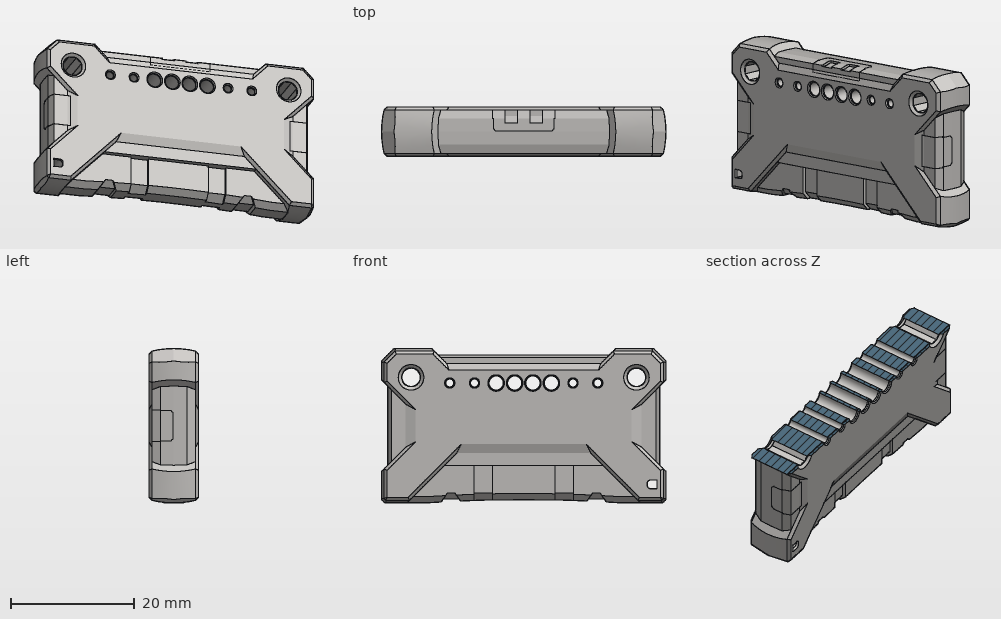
import cadquery as cq
import math

length = 46.0
height = 25.0
thickness = 8.0
plate_thickness = 0.45
crown = 0.4
edge_bevel = 0.5
upper_corner_cut = 2.02
lower_corner_cut = 0.55

half_length = length / 2
half_height = height / 2
face_y = thickness / 2
body_y = face_y - plate_thickness
diagonal = math.sqrt(2)

upper_arm_cross = 2.4
side_notch_cross = 15.6
lower_arm_cross = 6.4

upper_slope_foot, upper_slope_run = 10.05, 2.3
side_slope_foot, side_slope_run = 19.05, 3.4
lower_slope_foot, lower_slope_run = -4.45, 3.1

core_half_length = 22.0
core_top = 11.45
core_bottom = -6.45
core_draft = 0.05
core_bevel_y = 2.1
core_top_bevel = 0.45
core_side_bevel = 0.6
core_corner_cut = 1.85

hole_row_z = 6.9
small_hole_x, small_hole_radius, small_hole_rim = (7.95, 11.95), 0.65, 0.2
large_hole_x, large_hole_radius, large_hole_rim = (1.45, 4.45), 1.15, 0.2
screw_x, screw_z = 18.2, 7.8
screw_radius, screw_rim = 1.45, 0.6
screw_lip = 0.45
octagon_sides = 8
octagon_apothem = 1.5
lanyard_left, lanyard_right = 19.95, 21.55
lanyard_bottom, lanyard_top = -10.15, -8.8
lanyard_corner = 0.55

tongue_overlap = 0.45
tongue_tip_y = 0.1
tongue_step = 0.15
tongue_tip_cut = 0.35
top_tongue_half_width = 5.0
side_tongue_half_width = 2.58

slot_inner_x, slot_outer_x = 1.0, 3.05
slot_start_y, slot_ramp_y, slot_floor_y = 1.43, 1.55, 2.5
slot_step, slot_depth = 0.35, 0.65

insert_y = 2.58
insert_mid_bottom = -11.95
insert_curve_half_width = 15.65
insert_bevel = 1.0
groove_inner_x, groove_outer_x = 5.05, 8.0
groove_floor_y = 2.02
groove_edge_z = -10.85
notch_x = 11.75
notch_roof_z = -10.85
notch_roof_half_width, notch_mouth_half_width = 0.6, 1.7

lengthwise_plane = cq.Plane((0, 0, 0), xDir=(0, 1, 0), normal=(0, 0, -1))


def mirrored_outline(right_points):
    """Close an outline that is symmetric about x = 0 from its right half, listed top to bottom."""
    left_points = [(-x, z) for x, z in reversed(right_points)]
    return right_points + left_points


def armour_outline(inset, upper_cut, lower_cut, bevel, slope):
    """X-shaped outline: outer sides moved in by inset, arm edges by bevel, slopes by a 0..1 share."""
    side = half_length - inset - bevel
    top = half_height - inset - bevel
    upper_sum = half_length + half_height - upper_cut - bevel * diagonal
    lower_sum = half_length + half_height - lower_cut - bevel * diagonal
    upper_arm = upper_arm_cross + bevel * diagonal
    notch = side_notch_cross - bevel * diagonal
    lower_arm = lower_arm_cross + bevel * diagonal
    upper_slope = upper_slope_foot - slope * upper_slope_run
    side_slope = side_slope_foot - slope * side_slope_run
    lower_slope = lower_slope_foot + slope * lower_slope_run
    return mirrored_outline([
        (upper_arm + upper_slope, upper_slope),
        (upper_arm + top, top),
        (upper_sum - top, top),
        (side, upper_sum - side),
        (side, side - notch),
        (side_slope, side_slope - notch),
        (side_slope, notch - side_slope),
        (side, notch - side),
        (side, side - lower_sum),
        (lower_sum - top, -top),
        (lower_arm + top, -top),
        (lower_arm - lower_slope, lower_slope),
    ])


def ruled_body(start_outline, start_y, end_outline, end_y):
    """Solid with straight flanks between two XZ outlines."""
    wires = [
        cq.Wire.makePolygon([cq.Vector(x, y, z) for x, z in outline], close=True)
        for outline, y in ((start_outline, start_y), (end_outline, end_y))
    ]
    return cq.Workplane(cq.Solid.makeLoft(wires, True))


def along_y(outline, half_depth):
    """XZ outline extruded to both sides of y = 0."""
    return cq.Workplane("XZ").polyline(outline).close().extrude(half_depth, both=True)


def both_sides(body, plane):
    """The body together with its mirror image."""
    return body.union(body.mirror(plane))


rim_upper_cut = upper_corner_cut + crown * diagonal
rim_lower_cut = lower_corner_cut + crown * diagonal


def crowned_block():
    """Envelope of the corners: arc-shaped outsides, highest at mid thickness."""
    def crowned_profile(plane, half_size):
        rim = half_size - crown
        return (
            cq.Workplane(plane)
            .moveTo(-body_y, rim)
            .threePointArc((0, half_size), (body_y, rim))
            .lineTo(body_y, -rim)
            .threePointArc((0, -half_size), (-body_y, -rim))
            .close()
            .extrude(length, both=True)
        )

    across_x = crowned_profile(lengthwise_plane, half_length)
    across_z = crowned_profile("YZ", half_height)
    return across_x.intersect(across_z)


def corner_armour():
    """The four corners between the plates; their 45 degree cuts have a ridge at mid thickness."""
    middle = armour_outline(0, upper_corner_cut, lower_corner_cut, 0, 0)
    rim = armour_outline(0, rim_upper_cut, rim_lower_cut, 0, 0)
    half = ruled_body(middle, 0, rim, body_y)
    return both_sides(half, "XZ").intersect(crowned_block())


def raised_plate(side):
    """X-shaped plate with bevelled arms; side is -1 for the front and 1 for the back."""
    foot = armour_outline(crown, rim_upper_cut, rim_lower_cut, 0, 0)
    face = armour_outline(crown, rim_upper_cut, rim_lower_cut, edge_bevel, 0.45)
    return ruled_body(foot, side * body_y, face, side * face_y)


def core():
    """Block between the corners with a light draft and a bevel towards the front and the back."""
    def drafted_profile(plane, half_size, bevel):
        upper_half = [
            (body_y, half_size - bevel),
            (core_bevel_y, half_size - core_draft),
            (0, half_size),
            (-core_bevel_y, half_size - core_draft),
            (-body_y, half_size - bevel),
        ]
        lower_half = [(y, -size) for y, size in reversed(upper_half)]
        return cq.Workplane(plane).polyline(upper_half + lower_half).close().extrude(length, both=True)

    side_profile = drafted_profile(lengthwise_plane, core_half_length, core_side_bevel)
    top_profile = drafted_profile("YZ", core_top, core_top_bevel)
    front_outline = mirrored_outline([
        (core_half_length - core_corner_cut, core_top),
        (core_half_length, core_top - core_corner_cut),
        (core_half_length, core_bottom),
    ])
    return side_profile.intersect(top_profile).intersect(along_y(front_outline, body_y))


def rimmed_holes(centres, radius, rim):
    """Through holes along Y with a 45 degree rim at the front and at the back."""
    holes = cq.Workplane("XZ").pushPoints(centres).circle(radius).extrude(face_y, both=True)
    for x, z in centres:
        for side in (-1, 1):
            rim_cone = cq.Solid.makeCone(
                radius + rim, radius, rim, cq.Vector(x, side * face_y, z), cq.Vector(0, -side, 0)
            )
            holes = holes.union(cq.Workplane(rim_cone))
    return holes


def octagonal_bores():
    """Octagonal bores of the screw holes, from behind the front lip to the back cover."""
    bore_start_y = -face_y + screw_rim + screw_lip
    half_side_angle = 180 / octagon_sides
    corner_diameter = 2 * octagon_apothem / math.cos(math.radians(half_side_angle))
    octagon = (
        cq.Workplane("XZ", origin=(screw_x, body_y, screw_z))
        .transformed(rotate=(0, 0, half_side_angle))
        .polygon(octagon_sides, corner_diameter)
        .extrude(body_y - bore_start_y)
    )
    return both_sides(octagon, "YZ")


def all_holes():
    small_centres = [(side * x, hole_row_z) for side in (-1, 1) for x in small_hole_x]
    large_centres = [(side * x, hole_row_z) for side in (-1, 1) for x in large_hole_x]
    screw_centres = [(side * screw_x, screw_z) for side in (-1, 1)]
    lanyard_hole = (
        cq.Workplane("XZ")
        .center((lanyard_left + lanyard_right) / 2, (lanyard_bottom + lanyard_top) / 2)
        .rect(lanyard_right - lanyard_left, lanyard_top - lanyard_bottom)
        .extrude(face_y, both=True)
        .edges("|Y and <X")
        .fillet(lanyard_corner)
    )
    return (
        rimmed_holes(small_centres, small_hole_radius, small_hole_rim)
        .union(rimmed_holes(large_centres, large_hole_radius, large_hole_rim))
        .union(rimmed_holes(screw_centres, screw_radius, screw_rim))
        .union(octagonal_bores())
        .union(lanyard_hole)
    )


def tongue_prism(plane, half_width, inner, outer):
    """Tongue width along its length from the back, cut from inner to outer along the plane normal."""
    tip_half_width = half_width - tongue_step
    right_side = [
        (half_width, body_y),
        (half_width, core_bevel_y),
        (tip_half_width, core_bevel_y),
        (tip_half_width, tongue_tip_y + tongue_tip_cut),
        (tip_half_width - tongue_tip_cut, tongue_tip_y),
    ]
    return (
        cq.Workplane(plane)
        .workplane(offset=inner)
        .polyline(mirrored_outline(right_side))
        .close()
        .extrude(outer - inner)
    )


def pry_slots():
    """Two stepped and ramped slots that open the top tongue towards the back."""
    profile = [
        (slot_start_y, core_top),
        (slot_start_y, core_top - slot_step),
        (slot_ramp_y, core_top - slot_step),
        (slot_floor_y, core_top - slot_depth),
        (body_y, core_top - slot_depth),
        (body_y, core_top),
    ]
    slot = (
        cq.Workplane("YZ", origin=(slot_inner_x, 0, 0))
        .polyline(profile)
        .close()
        .extrude(slot_outer_x - slot_inner_x)
    )
    return both_sides(slot, "YZ")


def tongues(block):
    """Tongues at the top and at both sides, flush with the block."""
    top_tongue = tongue_prism("XY", top_tongue_half_width, upper_slope_foot - tongue_overlap, core_top)
    side_plane = cq.Plane((0, 0, 0), xDir=(0, 0, -1), normal=(1, 0, 0))
    side_tongue = tongue_prism(
        side_plane, side_tongue_half_width, side_slope_foot - tongue_overlap, core_half_length
    )
    return top_tongue.union(both_sides(side_tongue, "YZ")).intersect(block)


def insert_groove():
    """Upright groove in the front of the insert, with its own bevel at the bottom."""
    bevel_rise = groove_edge_z + half_height
    profile = [
        (-body_y, core_bottom),
        (-groove_floor_y, core_bottom),
        (-groove_floor_y, groove_edge_z),
        (-groove_floor_y + bevel_rise, groove_edge_z - bevel_rise),
        (-body_y, groove_edge_z - bevel_rise),
    ]
    return (
        cq.Workplane("YZ", origin=(groove_inner_x, 0, 0))
        .polyline(profile)
        .close()
        .extrude(groove_outer_x - groove_inner_x)
    )


def insert_notch():
    """Trapezoid notch in the bottom edge, with a roof that follows the bevel."""
    mouth_z = -half_height
    trapezoid = along_y(
        [
            (notch_x - notch_mouth_half_width, mouth_z),
            (notch_x - notch_roof_half_width, notch_roof_z),
            (notch_x + notch_roof_half_width, notch_roof_z),
            (notch_x + notch_mouth_half_width, mouth_z),
        ],
        insert_y,
    )
    roof_half = [
        (insert_y, mouth_z),
        (insert_y, notch_roof_z),
        (insert_y - insert_bevel, notch_roof_z - insert_bevel),
    ]
    roof = cq.Workplane("YZ").polyline(mirrored_outline(roof_half)).close().extrude(half_length)
    return trapezoid.intersect(roof)


def bottom_insert():
    """Block between the lower arms with a hollow-curved, bevelled bottom."""
    top_half_width = lower_arm_cross - core_bottom
    bottom_half_width = lower_arm_cross + half_height
    bottom_zone = cq.selectors.BoxSelector(
        (-length, -thickness, -height), (length, thickness, insert_mid_bottom + crown)
    )
    block = (
        cq.Workplane("XZ")
        .moveTo(-top_half_width, core_bottom)
        .lineTo(top_half_width, core_bottom)
        .lineTo(bottom_half_width, -half_height)
        .lineTo(insert_curve_half_width, -half_height)
        .threePointArc((0, insert_mid_bottom), (-insert_curve_half_width, -half_height))
        .lineTo(-bottom_half_width, -half_height)
        .close()
        .extrude(insert_y, both=True)
        .edges("not |Y")
        .edges(bottom_zone)
        .chamfer(insert_bevel)
    )
    grooves = both_sides(both_sides(insert_groove(), "YZ"), "XZ")
    notches = both_sides(insert_notch(), "YZ")
    return block.cut(grooves).cut(notches)


core_block = core()
cover_tongues = tongues(core_block)
holes = all_holes()

housing = corner_armour().union(core_block).union(raised_plate(-1)).cut(cover_tongues).cut(holes)
back_cover = raised_plate(1).union(cover_tongues).cut(pry_slots()).cut(holes)
insert = bottom_insert()

result = cq.Compound.makeCompound([body.solids().val() for body in (housing, back_cover, insert)])